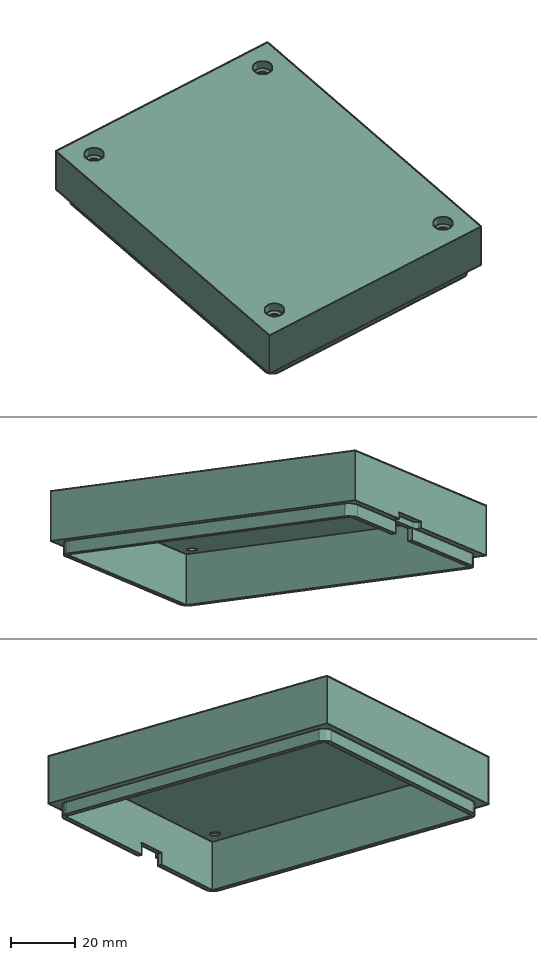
import cadquery as cq

length = 108.7
width = 83.2
total_height = 20.0
lip_height = 4.0
body_height = total_height - lip_height

lip_inset = 2.3
lip_thickness = 1.5
lip_corner_radius = 2.9
wall_thickness = lip_inset + lip_thickness

hole_edge_distance = 8.5
hole_diameter = 3.3
counterbore_diameter = 6.1
counterbore_depth = 3.0

opening_y = 6.6
notch_width = 13.9
notch_height = 2.1
notch_depth = lip_inset
notch_corner_radius = 1.3
gap_width = 10.2


def inset_block(inset, bottom, top):
    """Centred block that stands the given inset inside the outer sides, from bottom to top."""
    return (
        cq.Workplane("XY", origin=(0, 0, bottom))
        .rect(length - 2 * inset, width - 2 * inset)
        .extrude(top - bottom)
    )


def add_lip(body):
    """Join the rounded lip, broken by the connector gap, under the body."""
    lip = inset_block(lip_inset, -lip_height, 0).edges("|Z").fillet(lip_corner_radius)
    lip = lip.cut(inset_block(wall_thickness, -lip_height, 0))
    gap_x = -length / 2 + lip_inset + lip_thickness / 2
    gap = (
        cq.Workplane("XY", origin=(gap_x, opening_y, -lip_height))
        .rect(lip_thickness, gap_width)
        .extrude(lip_height)
    )
    return body.union(lip.cut(gap))


def connector_notch():
    """Shallow recess in the outer -X face whose two inner corners are rounded."""
    return (
        cq.Workplane("XY", origin=(-length / 2 + notch_depth / 2, opening_y, 0))
        .rect(notch_depth, notch_width)
        .extrude(notch_height)
        .edges("|Z and >X")
        .fillet(notch_corner_radius)
    )


def drill_screw_holes(body):
    """Cut the four counterbored holes down from the top face."""
    spacing_x = length - 2 * hole_edge_distance
    spacing_y = width - 2 * hole_edge_distance
    return (
        body.faces(">Z")
        .workplane(origin=(0, 0, body_height))
        .rect(spacing_x, spacing_y, forConstruction=True)
        .vertices()
        .cboreHole(hole_diameter, counterbore_diameter, counterbore_depth)
    )


cover = inset_block(0, 0, body_height)
cover = cover.cut(inset_block(wall_thickness, 0, body_height - wall_thickness))
cover = add_lip(cover)
cover = cover.cut(connector_notch())
result = drill_screw_holes(cover)